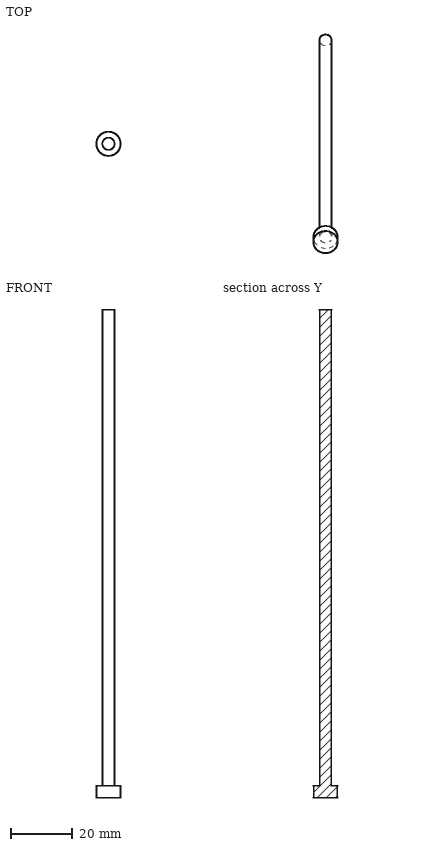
import cadquery as cq

total_length = 160.0
head_diameter = 8.0
head_height = 4.0
shaft_diameter = 4.0

head = cq.Workplane("XY").circle(head_diameter / 2).extrude(head_height)
shaft = cq.Workplane("XY").circle(shaft_diameter / 2).extrude(total_length)

result = head.union(shaft)